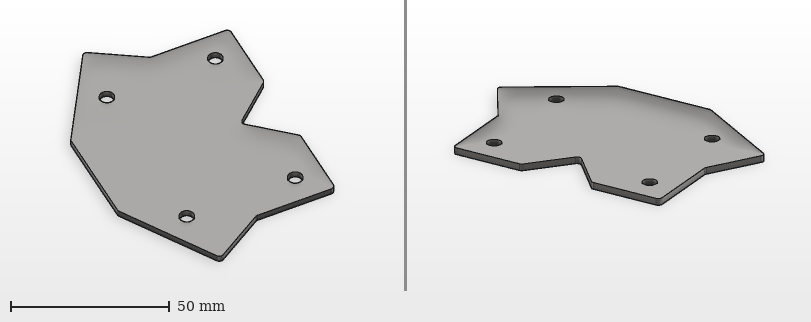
import cadquery as cq
import math

width = 97.4
depth = 65.8
thickness = 2.3

bottom_half_width = 16.9
body_half_width = 38.0
notch_half_width = 13.0
notch_depth = 14.7
corner_radius = 1.5
wing_angle = math.radians(32)

tip_overshoot = corner_radius * (math.cos(wing_angle) + math.sin(wing_angle) - 1)
wing_corner_x = width / 2 + tip_overshoot
wing_corner_y = (wing_corner_x - bottom_half_width) * math.tan(wing_angle)
waist_y = wing_corner_y + (wing_corner_x - body_half_width) / math.tan(wing_angle)

hole_diameter = 4.9
hole_spacing_x = 57.2
hole_spacing_y = 38.0
lower_hole_y = 18.4


def make_plate():
    """Symmetric plate with two wings and a V notch, all corners rounded."""
    right_side = [
        (bottom_half_width, 0),
        (wing_corner_x, wing_corner_y),
        (body_half_width, waist_y),
        (body_half_width, depth),
        (notch_half_width, depth),
    ]
    notch_bottom = (0, depth - notch_depth)
    left_side = [(-x, y) for x, y in reversed(right_side)]
    outline = right_side + [notch_bottom] + left_side
    plate = cq.Workplane("XY").polyline(outline).close().extrude(thickness)
    return plate.edges("|Z").fillet(corner_radius)


def drill_holes(plate):
    """Four through holes at the corners of a rectangle."""
    pattern_center_y = lower_hole_y + hole_spacing_y / 2
    return (
        plate.faces(">Z")
        .workplane(origin=(0, pattern_center_y, thickness))
        .rect(hole_spacing_x, hole_spacing_y, forConstruction=True)
        .vertices()
        .hole(hole_diameter)
    )


result = drill_holes(make_plate())